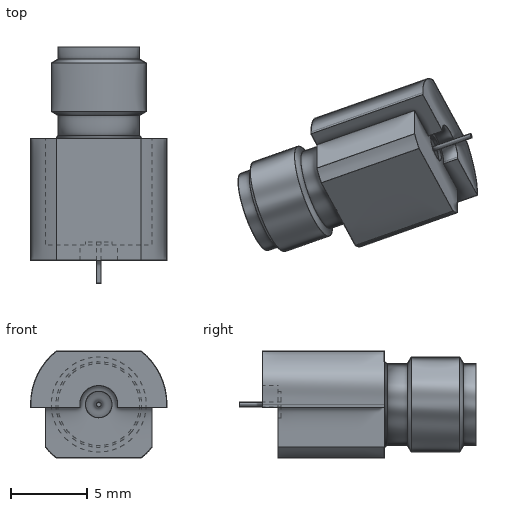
import cadquery as cq

body_length = 8.0
body_height = 7.0
body_radius = 8.95 / 2
body_half = body_height / 2
ledge_z = -0.2
lower_setback = 1.0

notch_radius = 1.24
recess_radius = 0.87
recess_depth = 0.2
pin_radius = 0.15
pin_projection = 1.5

barrel_length = 6.0
neck_radius = 2.68
collar_radius = 3.12
flare_radius = 2.8
flare_length = 0.19
collar_start = 1.5
collar_end = 5.2
collar_bevel = 0.26


def cylinder(radius, start_y, end_y):
    """Solid cylinder on the connector axis."""
    plane = cq.Workplane("XZ", origin=(0, start_y, 0))
    return plane.circle(radius).extrude(start_y - end_y)


def block(width, start_y, end_y, bottom_z, top_z):
    """Box centred on X between the given Y and Z limits."""
    box = cq.Workplane("XY").box(width, end_y - start_y, top_z - bottom_z, centered=(True, False, False))
    return box.translate((0, start_y, bottom_z))


def upper_body():
    """Round-sided upper half, straight below the axis down to the ledge, with a notch around the pin."""
    width = 2 * body_radius
    crown = cylinder(body_radius, 0, body_length).intersect(block(width, 0, body_length, 0, body_half))
    skirt = block(width, 0, body_length, ledge_z, 0)
    notch = cylinder(notch_radius, 0, lower_setback)
    notch_mouth = block(2 * notch_radius, 0, lower_setback, ledge_z, 0)
    return crown.union(skirt).cut(notch).cut(notch_mouth)


def lower_body():
    """Flat-sided lower half whose bottom corners follow the round stock."""
    flats = block(body_height, lower_setback, body_length, -body_half, 0)
    return flats.intersect(cylinder(body_radius, lower_setback, body_length))


def barrel():
    """Turned rear barrel with a flared root and a bevelled collar."""
    profile = [
        (0, 0),
        (flare_radius, 0),
        (neck_radius, flare_length),
        (neck_radius, collar_start),
        (collar_radius, collar_start + collar_bevel),
        (collar_radius, collar_end - collar_bevel),
        (neck_radius, collar_end),
        (neck_radius, barrel_length),
        (0, barrel_length),
    ]
    turned = cq.Workplane("XY").polyline(profile).close().revolve(360, (0, 0, 0), (0, 1, 0))
    return turned.translate((0, body_length, 0))


recess_floor = lower_setback + recess_depth
recess = cylinder(recess_radius, lower_setback, recess_floor)
pin = cylinder(pin_radius, -pin_projection, recess_floor)

result = upper_body().union(lower_body()).union(barrel()).cut(recess).union(pin)